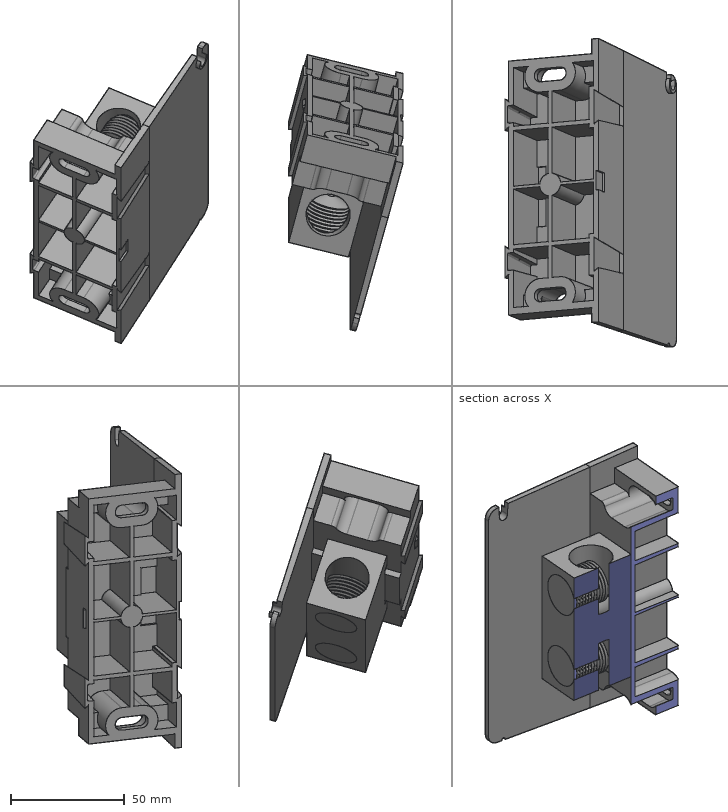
import cadquery as cq
import math

WALL = 2.4

HOUSING_X = 20.2
HOUSING_Z = 56.9
HOUSING_Y = 26.4
STEP_Z = 48.9
STEP_Y = 12.7
END_WALL = 3.2
PLATE_X = 23.4
PLATE_Z = 63.5
CAVITY_LEFT = WALL - HOUSING_X
CAVITY_RIGHT = PLATE_X - WALL
CAVITY_Z = HOUSING_Z - END_WALL

DRAFT = 0.7
LONG_RIB = 1.9
CROSS_RIB = 1.9
CROSS_RIB_Z = 26.5
MIDDLE_RIB = 1.3
POST_RADIUS = 5.1

SLOT_Z = 49.3
SLOT_PITCH = 9.5
SLOT_RADIUS = 2.9
SLOT_LIP = 3.2
HEAD_RADIUS = 5.3
BOSS_RADIUS = 7.5
HEAD_EDGE_FILLET = 2.5

CLIP_Z = 33.0
CLIP_X = -22.0
CLIP_HALF_LOW = 7.1
CLIP_HALF_HIGH = 5.1
CLIP_FLARE = 1.4
CLIP_SHELL = 1.3
CLIP_CAVITY_LOW = 4.0
CLIP_CAVITY_HIGH = 2.7
CLIP_CAVITY_FILLET = 0.8
SOCKET_GAP = 0.5
SOCKET_X = 21.3
SOCKET_WALL_HALF = 9.3

SNAP_HALF = 4.25
SNAP_HEIGHT = 1.0
SNAP_Y0, SNAP_PEAK_Y, SNAP_Y1 = 3.2, 4.5, 6.4

LUG_X = 13.6
LUG_Z = 31.9
LUG_TOP = 58.2
RAIL_Y = 29.1
RAIL_Z = 16.0
RAIL_X = 9.3
RAIL_CAVITY_X = 13.0
RAIL_CAVITY_Y = 25.4
RAIL_CAVITY_Z = 13.7
NOTCH_Z = 20.3
NOTCH_FILLET = 4.2
BORE_Y = 41.5
BORE_RADIUS = 9.7
BORE_DEPTH = 24.1
DRILL_ANGLE = 118.0

SCREW_Z = 18.4
SCREW_RADIUS = 9.5
SCREW_TIP_Y = 36.6
SCREW_TIP_HEIGHT = 2.7
SCREW_TIP_FLAT = 1.5
THREAD_PITCH = 1.59
THREAD_DEPTH = 0.9

BARRIER_Y = 82.5
BARRIER_TAPER = 0.4
BARRIER_EDGE_Z = 60.7
BARRIER_CORNER = 4.8
HOOK_Y = 74.3
HOOK_Z = 55.5
HOOK_RADIUS = 2.2
HOOK_MOUTH = 2.7
HUB_RADIUS = 3.5
HUB_X = 24.9
NICK_RADIUS = 1.0


def block(x0, x1, y0, y1, z0, z1):
    return cq.Workplane("XY").box(x1 - x0, y1 - y0, z1 - z0, centered=False).translate((x0, y0, z0))


def mounting_plane(x, z):
    """Sketch plane on the mounting face, facing into the housing."""
    return cq.Workplane(cq.Plane(origin=(x, 0, z), xDir=(1, 0, 0), normal=(0, 1, 0)))


def drafted_block(x0, x1, z0, z1, depth, draft):
    """Block from the mounting face; positive draft shrinks it with depth, negative draft widens it."""
    plane = mounting_plane((x0 + x1) / 2, (z0 + z1) / 2)
    return plane.rect(x1 - x0, z1 - z0).extrude(depth, taper=draft)


def stadium(z, radius, y0, y1):
    """Upright slot-shaped column with its long axis along X."""
    plane = mounting_plane(0, z).workplane(offset=y0)
    return plane.slot2D(SLOT_PITCH + 2 * radius, 2 * radius).extrude(y1 - y0)


def dovetail(neck_x, wide_x, z, half_low, half_high, flare, y0, y1):
    """Wedge along Y whose section is narrow at neck_x and wider at wide_x."""
    def section(half):
        return [(neck_x, z - half + flare), (wide_x, z - half), (wide_x, z + half), (neck_x, z + half - flare)]

    low = cq.Workplane("XZ", origin=(0, y0, 0)).polyline(section(half_low)).close()
    return low.workplane(offset=y0 - y1).polyline(section(half_high)).close().loft(ruled=True)


def plate_half_length(y):
    """Half length of the side plate and barrier, which get shorter away from the mounting face."""
    return PLATE_Z + (BARRIER_EDGE_Z - PLATE_Z) * y / BARRIER_Y


def make_shell():
    """Stepped outside of the housing with the side plate and the lug rails."""
    shell = block(-HOUSING_X, HOUSING_X, 0, HOUSING_Y, -STEP_Z, STEP_Z)
    shell = shell.union(block(-HOUSING_X, HOUSING_X, 0, STEP_Y, -HOUSING_Z, HOUSING_Z))
    deck_z = plate_half_length(HOUSING_Y)
    plate_outline = [(0, -PLATE_Z), (HOUSING_Y, -deck_z), (HOUSING_Y, deck_z), (0, PLATE_Z)]
    plate = cq.Workplane("YZ", origin=(HOUSING_X, 0, 0)).polyline(plate_outline).close()
    shell = shell.union(plate.extrude(PLATE_X - HOUSING_X))
    for x0, x1 in ((-HOUSING_X, -RAIL_X), (RAIL_X, HOUSING_X)):
        shell = shell.union(block(x0, x1, 0, RAIL_Y, -RAIL_Z, RAIL_Z))
    for z in (-CLIP_Z, CLIP_Z):
        shell = shell.union(
            dovetail(-HOUSING_X, CLIP_X, z, CLIP_HALF_LOW, CLIP_HALF_HIGH, CLIP_FLARE, 0, HOUSING_Y)
        )
    return shell


def make_clip_cavity(z):
    """Hollow of a clip, rounded along its two far corners."""
    cavity = dovetail(
        CAVITY_LEFT + WALL / 2, CLIP_X + CLIP_SHELL, z,
        CLIP_CAVITY_LOW, CLIP_CAVITY_HIGH, 0, 0, HOUSING_Y - WALL,
    )
    return cavity.faces("<X").edges("not |Z").fillet(CLIP_CAVITY_FILLET)


def make_cavity():
    """Drafted cells under the deck, open at the mounting face, that leave the ribs and posts between them."""
    floor_y = HOUSING_Y - WALL
    inner_z = STEP_Z - WALL
    middle_z = (MIDDLE_RIB / 2, CROSS_RIB_Z - CROSS_RIB / 2)
    end_z = CROSS_RIB_Z + CROSS_RIB / 2
    cell_lengths = (
        (*middle_z, floor_y),
        (end_z, inner_z, floor_y),
        (end_z, CAVITY_Z, STEP_Y - WALL),
    )
    cavity = cq.Workplane("XY")
    for x0, x1 in ((CAVITY_LEFT, -LONG_RIB / 2), (LONG_RIB / 2, CAVITY_RIGHT)):
        for near, far, depth in cell_lengths:
            for z0, z1 in ((near, far), (-far, -near)):
                cavity = cavity.add(drafted_block(x0, x1, z0, z1, depth, DRAFT))
    for x0, x1 in ((CAVITY_LEFT, -RAIL_CAVITY_X), (RAIL_CAVITY_X, CAVITY_RIGHT)):
        for z0, z1 in ((-RAIL_CAVITY_Z, -MIDDLE_RIB / 2), (MIDDLE_RIB / 2, RAIL_CAVITY_Z)):
            cavity = cavity.add(drafted_block(x0, x1, z0, z1, RAIL_CAVITY_Y, DRAFT))
    for z in (-CLIP_Z, CLIP_Z):
        cavity = cavity.add(make_clip_cavity(z))
    cavity = cavity.combine()

    for z in (-CLIP_Z, CLIP_Z):
        cavity = cavity.cut(
            drafted_block(
                SOCKET_X - WALL, PLATE_X, z - SOCKET_WALL_HALF, z + SOCKET_WALL_HALF, HOUSING_Y, -DRAFT
            )
        )
        boss = mounting_plane(0, math.copysign(SLOT_Z, z))
        boss = boss.slot2D(SLOT_PITCH + 2 * BOSS_RADIUS, 2 * BOSS_RADIUS)
        cavity = cavity.cut(boss.extrude(HOUSING_Y, taper=-DRAFT))
    return cavity.cut(mounting_plane(0, 0).circle(POST_RADIUS).extrude(HOUSING_Y, taper=-DRAFT))


def make_head_recess(side):
    """Clearance for a mounting screw head, blended by tangent arcs into the end of the raised deck."""
    recess = stadium(side * SLOT_Z, HEAD_RADIUS, SLOT_LIP, HOUSING_Y)
    arc_x = SLOT_PITCH / 2
    edge_z = STEP_Z - HEAD_EDGE_FILLET
    centre_distance = HEAD_RADIUS + HEAD_EDGE_FILLET
    edge_angle = math.asin((SLOT_Z - edge_z) / centre_distance)
    edge_x = arc_x + centre_distance * math.cos(edge_angle)
    tangent_x = arc_x + HEAD_RADIUS * math.cos(edge_angle)
    tangent_z = SLOT_Z - HEAD_RADIUS * math.sin(edge_angle)
    bend_angle = (math.pi - edge_angle + math.pi / 2) / 2
    bend_x = edge_x + HEAD_EDGE_FILLET * math.cos(bend_angle)
    bend_z = edge_z + HEAD_EDGE_FILLET * math.sin(bend_angle)
    for sign in (-1, 1):
        mouth = (
            cq.Workplane("XZ", origin=(0, STEP_Y, 0))
            .moveTo(sign * edge_x, side * STEP_Z)
            .threePointArc((sign * bend_x, side * bend_z), (sign * tangent_x, side * tangent_z))
            .lineTo(sign * arc_x, side * tangent_z)
            .lineTo(sign * arc_x, side * STEP_Z)
            .close()
            .extrude(STEP_Y - HOUSING_Y)
        )
        recess = recess.union(mouth)
    return recess


def make_snap_ridge():
    profile = [(-HOUSING_X, SNAP_Y0), (-HOUSING_X - SNAP_HEIGHT, SNAP_PEAK_Y), (-HOUSING_X, SNAP_Y1)]
    ridge = cq.Workplane("XY", origin=(0, 0, -SNAP_HALF)).polyline(profile).close()
    return ridge.extrude(2 * SNAP_HALF)


def make_housing():
    housing = make_shell().cut(make_cavity())
    for side in (-1, 1):
        housing = housing.cut(stadium(side * SLOT_Z, SLOT_RADIUS, 0, STEP_Y))
        housing = housing.cut(make_head_recess(side))
        socket = dovetail(
            PLATE_X, SOCKET_X, side * CLIP_Z,
            CLIP_HALF_LOW + SOCKET_GAP, CLIP_HALF_HIGH + SOCKET_GAP, CLIP_FLARE, 0, HOUSING_Y,
        )
        housing = housing.cut(socket)
    housing = housing.union(make_snap_ridge())
    return housing.cut(block(PLATE_X - SNAP_HEIGHT, PLATE_X, 0, SNAP_Y1, -SNAP_HALF, SNAP_HALF))


def make_barrier():
    """Thin wall standing on the side plate, with a hook notch in one end."""
    root_z = plate_half_length(HOUSING_Y)
    outline = [
        (HOUSING_Y, -root_z), (BARRIER_Y, -BARRIER_EDGE_Z), (BARRIER_Y, BARRIER_EDGE_Z), (HOUSING_Y, root_z)
    ]
    barrier = cq.Workplane("YZ", origin=(HOUSING_X, 0, 0)).polyline(outline).close()
    barrier = barrier.extrude(PLATE_X - HOUSING_X).edges("|X and >Y").fillet(BARRIER_CORNER)
    taper = [
        (HOUSING_X, HOUSING_Y), (PLATE_X, HOUSING_Y),
        (PLATE_X - BARRIER_TAPER, BARRIER_Y), (HOUSING_X + BARRIER_TAPER, BARRIER_Y),
    ]
    tapered = cq.Workplane("XY", origin=(0, 0, -PLATE_Z)).polyline(taper).close().extrude(2 * PLATE_Z)
    barrier = barrier.intersect(tapered)

    hub_x = (HOUSING_X + PLATE_X) / 2
    hub = cq.Workplane("YZ", origin=(hub_x, HOOK_Y, HOOK_Z)).circle(HUB_RADIUS).extrude(HUB_X - hub_x)
    notch = cq.Workplane("YZ", origin=(HOUSING_X, HOOK_Y, HOOK_Z)).circle(HOOK_RADIUS)
    notch = notch.extrude(HUB_X - HOUSING_X)
    throat = [
        (-HOOK_RADIUS, 0), (HOOK_RADIUS, 0), (HOOK_MOUTH, PLATE_Z - HOOK_Z), (-HOOK_MOUTH, PLATE_Z - HOOK_Z)
    ]
    throat = cq.Workplane("YZ", origin=(HOUSING_X, HOOK_Y, HOOK_Z)).polyline(throat).close()
    notch = notch.union(throat.extrude(HUB_X - HOUSING_X))
    nick = cq.Workplane("YZ", origin=(HOUSING_X, HOOK_Y, -plate_half_length(HOOK_Y))).circle(NICK_RADIUS)
    return barrier.union(hub).cut(notch).cut(nick.extrude(PLATE_X - HOUSING_X))


def make_lug():
    """Metal block with a blind wire bore in each end and a threaded-screw hole over each bore."""
    lug = block(-LUG_X, LUG_X, HOUSING_Y, LUG_TOP, -LUG_Z, LUG_Z)
    for x0, x1, inner in ((-2 * LUG_X, -RAIL_X, ">X"), (RAIL_X, 2 * LUG_X, "<X")):
        notch = block(x0, x1, HOUSING_Y, RAIL_Y, -NOTCH_Z, NOTCH_Z)
        lug = lug.cut(notch.edges("|Y").edges(inner).fillet(NOTCH_FILLET))

    tip_depth = BORE_RADIUS / math.tan(math.radians(DRILL_ANGLE / 2))
    bore_end = LUG_Z - BORE_DEPTH
    for flip in (0, 180):
        bore = (
            cq.Workplane("YZ")
            .polyline([(0, LUG_Z), (-BORE_RADIUS, LUG_Z), (-BORE_RADIUS, bore_end), (0, bore_end - tip_depth)])
            .close()
            .revolve(360, (0, 0, 0), (0, 1, 0))
            .rotate((0, 0, 0), (0, 1, 0), flip)
            .translate((0, BORE_Y, 0))
        )
        lug = lug.cut(bore)
    for z in (-SCREW_Z, SCREW_Z):
        hole = cq.Workplane("XZ", origin=(0, BORE_Y, z)).circle(SCREW_RADIUS).extrude(BORE_Y - LUG_TOP)
        lug = lug.cut(hole)
    return lug


def make_screw(z):
    """Set screw flush with the lug's top; its thread is a stack of V grooves."""
    thread_start = SCREW_TIP_Y + SCREW_TIP_HEIGHT
    turns = math.floor((LUG_TOP - thread_start) / THREAD_PITCH)
    profile = cq.Workplane("ZY").moveTo(0, SCREW_TIP_Y).lineTo(SCREW_TIP_FLAT, SCREW_TIP_Y)
    profile = profile.lineTo(SCREW_RADIUS, thread_start)
    for turn in range(turns):
        crest_y = thread_start + turn * THREAD_PITCH
        profile = profile.lineTo(SCREW_RADIUS - THREAD_DEPTH, crest_y + THREAD_PITCH / 2)
        profile = profile.lineTo(SCREW_RADIUS, crest_y + THREAD_PITCH)
    profile = profile.lineTo(SCREW_RADIUS, LUG_TOP).lineTo(0, LUG_TOP).close()
    return profile.revolve(360, (0, 0, 0), (0, 1, 0)).translate((0, 0, z))


housing = make_housing()
barrier = make_barrier()
lug = make_lug()
screws = [make_screw(z) for z in (-SCREW_Z, SCREW_Z)]

result = cq.Compound.makeCompound(
    [housing.val(), barrier.val(), lug.val(), *[screw.val() for screw in screws]]
)